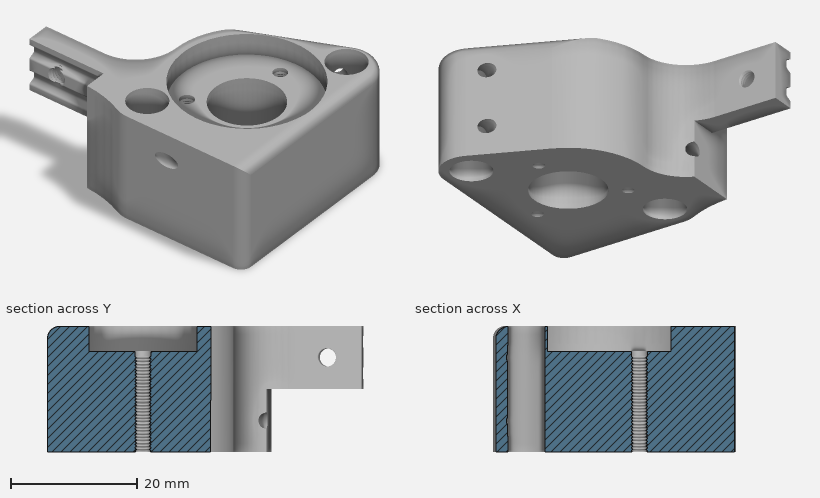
import cadquery as cq
import math


tilt = 4.5
height = 20.0
wall = 1.75
edge_round = 2.0

recess_radius = 12.75
recess_depth = 4.0
recess_wall = 1.61
bore_radius = 6.375
motor_screw_circle = 9.5
motor_screw_minor_radius = 1.0
motor_screw_major_radius = 1.25
motor_screw_entry_depth = 0.75
motor_screw_count = 3
motor_screw_first_angle = 90.0 + tilt

rod_radius = 3.5
rod_y = 13.9

set_screw_radius = 1.275
set_screw_heights = (height / 4, height * 3 / 4)

arm_length = 15.0
arm_thickness = 4.3
arm_top_y = -8.07
arm_height = 10.0
step_x = -19.1
step_width = 4.25
bottom_y = -19.17
lower_wrap_angle = 244.0

tooth_pitch = 5.0
tooth_depth = 1.2
groove_floor_width = 1.5
groove_mouth_width = 2.5
tooth_round = 0.4

arm_screw_minor_radius = 1.43
arm_screw_major_radius = 1.7
arm_screw_from_tip = 5.5

thread_pitch = 0.5

body_radius = recess_radius + recess_wall
rod_wrap_radius = rod_radius + wall
rod_x = body_radius - rod_wrap_radius
rod_distance = math.hypot(rod_x, rod_y)
rod_angle = math.degrees(math.atan2(rod_y, rod_x))
tangent_angle = rod_angle + math.degrees(math.acos((body_radius - rod_wrap_radius) / rod_distance))
upper_rod = (rod_x, rod_y)
lower_rod = (-rod_x, -rod_y)
arm_blend_radius = -arm_top_y
arm_bottom_y = arm_top_y - arm_thickness
arm_tip_x = step_x - arm_length
arm_base_z = height - arm_height


def polar(center, radius, angle):
    """Point at a radius and an angle in degrees around a center."""
    a = math.radians(angle)
    return (center[0] + radius * math.cos(a), center[1] + radius * math.sin(a))


def make_outline():
    """Full-height body with the arm, following the outline clockwise from the arm tip."""
    origin = (0.0, 0.0)
    blend_center = (-body_radius - arm_blend_radius, 0.0)
    corner_center = (body_radius - edge_round, bottom_y + edge_round)
    lower_wrap_center = (lower_rod[0], bottom_y + rod_wrap_radius)
    wrap_middle_angle = (270.0 + lower_wrap_angle) / 2
    return (
        cq.Workplane("XY")
        .moveTo(arm_tip_x, arm_top_y)
        .lineTo(blend_center[0], arm_top_y)
        .threePointArc(polar(blend_center, arm_blend_radius, -45), (-body_radius, 0))
        .threePointArc(
            polar(origin, body_radius, (180 + tangent_angle) / 2),
            polar(origin, body_radius, tangent_angle),
        )
        .lineTo(*polar(upper_rod, rod_wrap_radius, tangent_angle))
        .threePointArc(
            polar(upper_rod, rod_wrap_radius, tangent_angle / 2),
            polar(upper_rod, rod_wrap_radius, 0),
        )
        .lineTo(body_radius, corner_center[1])
        .threePointArc(polar(corner_center, edge_round, -45), (corner_center[0], bottom_y))
        .lineTo(lower_wrap_center[0], bottom_y)
        .threePointArc(
            polar(lower_wrap_center, rod_wrap_radius, wrap_middle_angle),
            polar(lower_wrap_center, rod_wrap_radius, lower_wrap_angle),
        )
        .tangentArcPoint((step_x, arm_bottom_y - step_width), relative=False)
        .lineTo(step_x, arm_bottom_y)
        .lineTo(arm_tip_x, arm_bottom_y)
        .close()
        .extrude(height)
    )


def make_rounding_envelope():
    """Oversize block whose rounded top edge follows the right wall, rod wrap and slanted wall."""
    reach = 60.0
    wall_start = polar(upper_rod, rod_wrap_radius, tangent_angle)
    wall_end = polar(wall_start, reach, tangent_angle + 90)
    return (
        cq.Workplane("XY")
        .moveTo(body_radius, -reach)
        .lineTo(body_radius, rod_y)
        .threePointArc(polar(upper_rod, rod_wrap_radius, tangent_angle / 2), wall_start)
        .lineTo(*wall_end)
        .lineTo(wall_end[0], -reach)
        .close()
        .extrude(height)
        .faces(">Z")
        .edges()
        .fillet(edge_round)
    )


def make_arm_undercut():
    """Space below the arm."""
    space_width = 40.0
    space = cq.Workplane("XY").box(
        space_width, 2 * space_width, arm_base_z, centered=(False, True, False)
    )
    return space.translate((step_x - space_width, 0, 0))


def make_tooth_groove(center_z):
    """Belt groove along the arm, with rounded floor corners and rounded lips."""
    floor_half = groove_floor_width / 2
    mouth_half = groove_mouth_width / 2
    flank_length = math.hypot(tooth_depth, mouth_half - floor_half)
    across = (mouth_half - floor_half) / flank_length
    along = tooth_depth / flank_length
    trim = tooth_round * math.tan(math.acos(across) / 2)
    floor_y = arm_bottom_y + tooth_depth

    def half_side(side):
        """Flat floor end, flank ends and lip end on one side of the groove."""
        return [
            (floor_y, center_z + side * (floor_half - trim)),
            (floor_y - trim * along, center_z + side * (floor_half + trim * across)),
            (arm_bottom_y + trim * along, center_z + side * (mouth_half - trim * across)),
            (arm_bottom_y, center_z + side * (mouth_half + trim)),
        ]

    upper = half_side(1)
    lower = half_side(-1)
    return (
        cq.Workplane("YZ", origin=(arm_tip_x, 0, 0))
        .moveTo(*lower[0])
        .lineTo(*upper[0])
        .tangentArcPoint(upper[1], relative=False)
        .lineTo(*upper[2])
        .tangentArcPoint(upper[3], relative=False)
        .lineTo(*lower[3])
        .radiusArc(lower[2], tooth_round)
        .lineTo(*lower[1])
        .radiusArc(lower[0], -tooth_round)
        .close()
        .extrude(arm_length)
    )


def make_threaded_hole(minor_radius, major_radius, ring_count):
    """Hole along +Z from the origin; ring grooves one pitch apart stand for its thread."""
    profile = cq.Workplane("XZ").moveTo(0, 0).lineTo(major_radius, 0)
    for ring in range(ring_count):
        profile = profile.lineTo(minor_radius, (ring + 0.5) * thread_pitch)
        profile = profile.lineTo(major_radius, (ring + 1) * thread_pitch)
    profile = profile.lineTo(0, ring_count * thread_pitch).close()
    return profile.revolve(360, (0, 0, 0), (0, 1, 0))


def make_motor_screw_hole(floor_z):
    """Through hole below the recess floor: a plain entry, then thread to the bottom face."""
    thread_top_z = floor_z - motor_screw_entry_depth
    ring_count = math.ceil(thread_top_z / thread_pitch)
    thread = make_threaded_hole(motor_screw_minor_radius, motor_screw_major_radius, ring_count)
    thread = thread.translate((0, 0, thread_top_z - ring_count * thread_pitch))
    entry = cq.Workplane("XY", origin=(0, 0, thread_top_z)).circle(motor_screw_major_radius)
    return thread.union(entry.extrude(motor_screw_entry_depth))


def cut_motor_seat(body):
    """Recess, through bore and threaded screw holes around the motor axis."""
    floor_z = height - recess_depth
    body = body.cut(cq.Workplane("XY", origin=(0, 0, floor_z)).circle(recess_radius).extrude(recess_depth))
    body = body.cut(cq.Workplane("XY").circle(bore_radius).extrude(height))
    screw_hole = make_motor_screw_hole(floor_z)
    for index in range(motor_screw_count):
        angle = motor_screw_first_angle + index * 360 / motor_screw_count
        x, y = polar((0, 0), motor_screw_circle, angle)
        body = body.cut(screw_hole.translate((x, y, 0)))
    return body


def cut_rod_holes(body):
    """Through holes for the two rods."""
    holes = cq.Workplane("XY").pushPoints([upper_rod, lower_rod]).circle(rod_radius).extrude(height)
    return body.cut(holes)


def cut_set_screw(body, rod, z, angle):
    """Radial hole from outside the body to the rod axis, arriving from a given angle."""
    length = 20.0
    a = math.radians(angle)
    outward = cq.Vector(math.cos(a), math.sin(a), 0)
    hole = cq.Solid.makeCylinder(set_screw_radius, length, cq.Vector(rod[0], rod[1], z), outward)
    return body.cut(cq.Workplane(obj=hole))


def cut_set_screws(body):
    """Set screws at right angles to the line through the rods."""
    low_z, high_z = set_screw_heights
    left_angle = rod_angle + 90
    right_angle = rod_angle - 90
    body = cut_set_screw(body, upper_rod, low_z, left_angle)
    body = cut_set_screw(body, upper_rod, high_z, left_angle)
    body = cut_set_screw(body, lower_rod, low_z, left_angle)
    return cut_set_screw(body, lower_rod, high_z, right_angle)


def cut_belt_clamp(body):
    """Belt grooves and the threaded clamp screw hole through the arm."""
    arm_middle_z = arm_base_z + arm_height / 2
    for side in (-1, 1):
        body = body.cut(make_tooth_groove(arm_middle_z + side * tooth_pitch / 2))
    ring_count = math.ceil(arm_thickness / thread_pitch)
    hole = make_threaded_hole(arm_screw_minor_radius, arm_screw_major_radius, ring_count)
    hole = hole.rotate((0, 0, 0), (1, 0, 0), -90)
    return body.cut(hole.translate((arm_tip_x + arm_screw_from_tip, arm_bottom_y, arm_middle_z)))


body = make_outline().cut(make_arm_undercut())
body = body.intersect(make_rounding_envelope())
body = cut_motor_seat(body)
body = cut_rod_holes(body)
body = cut_set_screws(body)
body = cut_belt_clamp(body)
result = body.rotate((0, 0, 0), (0, 0, 1), -tilt)